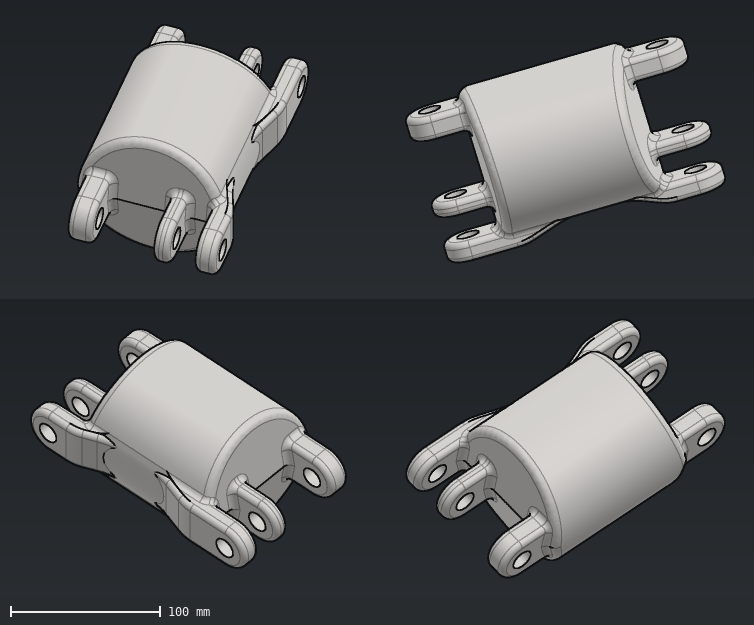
import cadquery as cq
import math

overall_length = 194.0
half_length = overall_length / 2

barrel_radius = 52.0
crease_y = 58.5
end_slope = math.radians(10)
rim_radius = 6.0

lug_radius = 17.7
eye_diameter = 15.0
eye_y = half_length - lug_radius
lug_edge_radius = 4.0
root_radius = 5.0

wide_lug = (-44.5, -27.4)
thin_lug = (16.3, 27.4)
strap_inner_x = 45.5
strap_outer_x = 60.0
strap_lug = (strap_inner_x, strap_outer_x)

waist_floor_x = 49.7
rear_descent = (48.1, math.radians(18), 38.8, 65.0)
front_descent = (-63.2, math.radians(22), 32.0, 54.3)
waist_middle_y = (rear_descent[0] + front_descent[0]) / 2
waist_length = rear_descent[0] - front_descent[0]

clearance = 9.7
touch_tolerance = 0.002


def make_barrel():
    corner_y = crease_y - barrel_radius * math.tan(end_slope)
    side_outline = [
        (crease_y, 0),
        (corner_y, barrel_radius),
        (-corner_y, barrel_radius),
        (-crease_y, 0),
        (-corner_y, -barrel_radius),
        (corner_y, -barrel_radius),
    ]
    roof_prism = cq.Workplane("YZ").polyline(side_outline).close().extrude(barrel_radius, both=True)
    cylinder = cq.Workplane("XZ").circle(barrel_radius).extrude(crease_y, both=True)
    barrel = cylinder.intersect(roof_prism)
    return barrel.edges("not (|X or |Y)").fillet(rim_radius)


def make_bar(x_range):
    """Round-ended bar from one lug tip to the other, with its edges rounded."""
    start_x, end_x = x_range
    bar = (
        cq.Workplane("YZ", origin=(start_x, 0, 0))
        .slot2D(overall_length, 2 * lug_radius)
        .extrude(end_x - start_x)
    )
    return bar.edges("not |X").fillet(lug_edge_radius)


def junction_edges(body, barrel, bars):
    """Edges of body that lie both on the barrel and on one of the bars."""
    barrel_skin = barrel.shells().val()
    bar_skins = [bar.shells().val() for bar in bars]
    edges = []
    for edge in body.edges().vals():
        middle = cq.Vertex.makeVertex(*edge.positionAt(0.5).toTuple())
        on_barrel = middle.distance(barrel_skin) < touch_tolerance
        on_bar = any(middle.distance(skin) < touch_tolerance for skin in bar_skins)
        if on_barrel and on_bar:
            edges.append(edge)
    return edges


def descent_points(descent, inset):
    """Points from the flat down to the waist floor: start, top arc (2), end of ramp, bottom arc (2)."""
    flat_end_y, angle, top_radius, bottom_radius = descent
    inward = -math.copysign(1, flat_end_y)
    top_x = strap_outer_x - inset
    floor_x = waist_floor_x - inset
    ramp_rise = top_x - floor_x - (top_radius + bottom_radius) * (1 - math.cos(angle))
    ramp_end_run = top_radius * math.sin(angle) + ramp_rise / math.tan(angle)
    floor_run = ramp_end_run + bottom_radius * math.sin(angle)

    def on_top_arc(turn):
        return (top_x - top_radius * (1 - math.cos(turn)), flat_end_y + inward * top_radius * math.sin(turn))

    def on_bottom_arc(turn):
        run = floor_run - bottom_radius * math.sin(turn)
        return (floor_x + bottom_radius * (1 - math.cos(turn)), flat_end_y + inward * run)

    return [
        on_top_arc(0),
        on_top_arc(angle / 2),
        on_top_arc(angle),
        on_bottom_arc(angle),
        on_bottom_arc(angle / 2),
        on_bottom_arc(0),
    ]


def waisted_prism(half_height, inset):
    """Prism from X = 0 out to the waisted strap face, that face moved inwards by inset."""
    rear = descent_points(rear_descent, inset)
    front = descent_points(front_descent, inset)
    flat_x = strap_outer_x - inset
    return (
        cq.Workplane("XY")
        .moveTo(0, half_length)
        .lineTo(flat_x, half_length)
        .lineTo(*rear[0])
        .threePointArc(rear[1], rear[2])
        .lineTo(*rear[3])
        .threePointArc(rear[4], rear[5])
        .lineTo(*front[5])
        .threePointArc(front[4], front[3])
        .lineTo(*front[2])
        .threePointArc(front[1], front[0])
        .lineTo(flat_x, -half_length)
        .lineTo(0, -half_length)
        .close()
        .extrude(half_height, both=True)
    )


def make_waist_cutter(barrel):
    """Material outside the barrel to remove so the strap sinks into the barrel at its waist."""
    strap = waisted_prism(lug_radius, 0)
    outer_edges = strap.faces(">Z or <Z").edges("not (<X or >Y or <Y)")
    strap = outer_edges.fillet(lug_edge_radius)
    web_height = lug_radius + 2 * root_radius
    web = waisted_prism(web_height, lug_edge_radius)
    block_depth = strap_outer_x + clearance
    block = cq.Workplane("XY", origin=(block_depth / 2, waist_middle_y, 0))
    block = block.box(block_depth, waist_length, 2 * web_height)
    return block.cut(strap).cut(web).cut(barrel)


def make_eyes():
    eye_length = 2 * (strap_outer_x + clearance)
    return (
        cq.Workplane("YZ", origin=(-eye_length / 2, 0, 0))
        .pushPoints([(eye_y, 0), (-eye_y, 0)])
        .circle(eye_diameter / 2)
        .extrude(eye_length)
    )


barrel = make_barrel()
bars = [make_bar(x_range) for x_range in (wide_lug, thin_lug, strap_lug)]

body = barrel
for bar in bars:
    body = body.union(bar)
body = body.newObject(junction_edges(body, barrel, bars)).fillet(root_radius)

result = body.cut(make_waist_cutter(barrel)).cut(make_eyes())